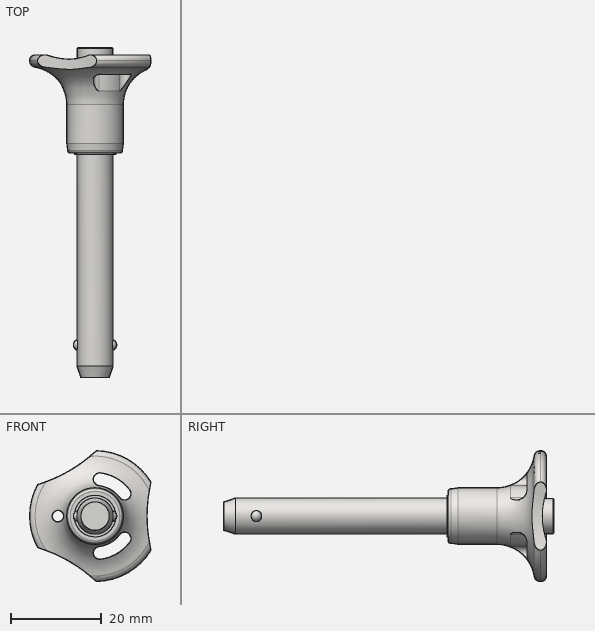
import cadquery as cq
import math

total_length = 72.65

shaft_radius = 4.0
tip_radius = 3.1
tip_taper_depth = 70.1

button_radius = 3.9
button_chamfer = 0.2

handle_diameter = 28.85
handle_radius = handle_diameter / 2
rim_radius = 1.45
rim_back_radius = 1.3
rim_depth = 2.9
dish_depth = 4.15
dish_floor_radius = 8.7
sleeve_radius = 6.25
sleeve_start_depth = 12.5
sleeve_taper_depth = 21.1
sleeve_edge_depth = 22.7
sleeve_edge_radius = 6.0
sleeve_end_depth = 23.25
sleeve_end_radius = 5.45
collar_radius = 4.6
collar_end_depth = 23.5

lobe_count = 3
scallop_middle_radius = 11.5
scallop_radius = 34.15

opening_circle_diameter = 16.35
opening_center_radius = opening_circle_diameter / 2
lanyard_hole_radius = 1.2
slot_half_width = 1.4
slot_half_angle = 22.8
slot_angles = (60, -60)

ball_radius = 1.2
ball_offset = 3.55
ball_depth = 65.45


def revolve_about_axis(profile):
    """Revolve a (radius, -depth) profile about the Y axis."""
    return profile.close().revolve(360, (0, 0, 0), (0, 1, 0))


def from_back():
    """Return a sketch plane at the button's back: local x is X, local y is Z, extruding toward the tip."""
    return cq.Workplane(cq.Plane((0, 0, 0), (1, 0, 0), (0, -1, 0)))


def polar(radius, angle):
    return (radius * math.cos(math.radians(angle)), radius * math.sin(math.radians(angle)))


def make_pin():
    profile = (
        cq.Workplane("XY")
        .lineTo(button_radius - button_chamfer, 0)
        .lineTo(button_radius, -button_chamfer)
        .lineTo(button_radius, -sleeve_start_depth)
        .lineTo(shaft_radius, -sleeve_start_depth)
        .lineTo(shaft_radius, -tip_taper_depth)
        .lineTo(tip_radius, -total_length)
        .lineTo(0, -total_length)
    )
    return revolve_about_axis(profile)


def make_handle_body():
    rim_center = handle_radius - rim_radius

    depth_gap = sleeve_start_depth - rim_depth
    radial_gap = rim_center - sleeve_radius
    flare_radius = (radial_gap**2 + depth_gap**2 - rim_radius**2) / (2 * (radial_gap + rim_radius))
    flare_center = sleeve_radius + flare_radius

    join_angle = math.degrees(math.atan2(depth_gap, flare_center - rim_center))
    join_x, join_depth = polar(rim_radius, join_angle)
    rim_end = (rim_center + join_x, -(rim_depth + join_depth))
    outer_x, outer_depth = polar(rim_radius, join_angle / 2)
    rim_front_middle = (rim_center + outer_x, -(rim_depth + outer_depth))
    flare_x, flare_depth = polar(flare_radius, join_angle / 2)
    flare_middle = (flare_center - flare_x, -(sleeve_start_depth - flare_depth))

    corner_bulge = math.sqrt(0.5)
    rim_bulge = corner_bulge * rim_back_radius
    rim_back_center = handle_radius - rim_back_radius
    rim_back_middle = (rim_back_center + rim_bulge, rim_bulge - rim_depth)
    edge_middle = (
        sleeve_end_radius + corner_bulge * (sleeve_edge_radius - sleeve_end_radius),
        -sleeve_edge_depth - corner_bulge * (sleeve_end_depth - sleeve_edge_depth),
    )

    profile = (
        cq.Workplane("XY")
        .moveTo(0, -dish_depth)
        .lineTo(dish_floor_radius, -dish_depth)
        .lineTo(rim_back_center, rim_back_radius - rim_depth)
        .threePointArc(rim_back_middle, (handle_radius, -rim_depth))
        .threePointArc(rim_front_middle, rim_end)
        .threePointArc(flare_middle, (sleeve_radius, -sleeve_start_depth))
        .lineTo(sleeve_radius, -sleeve_taper_depth)
        .lineTo(sleeve_edge_radius, -sleeve_edge_depth)
        .threePointArc(edge_middle, (sleeve_end_radius, -sleeve_end_depth))
        .lineTo(collar_radius, -sleeve_end_depth)
        .lineTo(collar_radius, -collar_end_depth)
        .lineTo(0, -collar_end_depth)
    )
    return revolve_about_axis(profile)


def make_scallops():
    cutters = from_back().polarArray(scallop_middle_radius + scallop_radius, 0, 360, lobe_count)
    return cutters.circle(scallop_radius).extrude(sleeve_start_depth)


def make_slot(middle_angle):
    inner = opening_center_radius - slot_half_width
    outer = opening_center_radius + slot_half_width
    start = middle_angle - slot_half_angle
    end = middle_angle + slot_half_angle
    band = (
        from_back()
        .moveTo(*polar(inner, start))
        .threePointArc(polar(inner, middle_angle), polar(inner, end))
        .lineTo(*polar(outer, end))
        .threePointArc(polar(outer, middle_angle), polar(outer, start))
        .close()
        .extrude(sleeve_start_depth)
    )
    end_centers = [polar(opening_center_radius, angle) for angle in (start, end)]
    ends = from_back().pushPoints(end_centers).circle(slot_half_width).extrude(sleeve_start_depth)
    return band.union(ends)


def make_handle():
    handle = make_handle_body().cut(make_scallops())
    for angle in slot_angles:
        handle = handle.cut(make_slot(angle))
    lanyard_hole = (
        from_back()
        .center(-opening_center_radius, 0)
        .circle(lanyard_hole_radius)
        .extrude(sleeve_start_depth)
    )
    return handle.cut(lanyard_hole)


def make_balls():
    centers = [(side * ball_offset, -ball_depth, 0) for side in (-1, 1)]
    return cq.Workplane("XY").pushPoints(centers).sphere(ball_radius)


result = make_handle().union(make_pin()).union(make_balls())